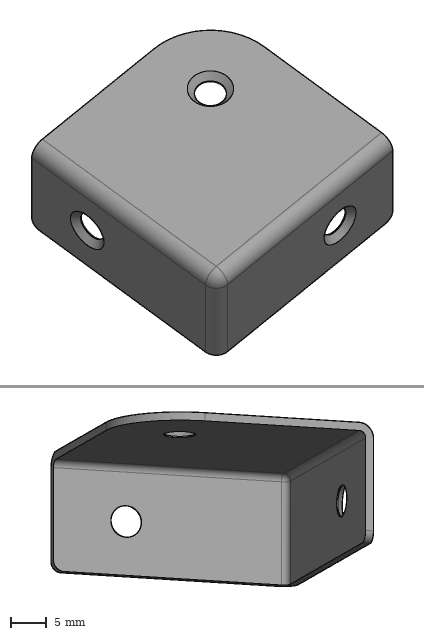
import cadquery as cq

side = 36.0
height = 17.0
thickness = 1.2
outer_bend_radius = 2.2
inner_bend_radius = outer_bend_radius - thickness
plate_corner_radius = 10.98
flange_corner_radius = 1.5

hole_diameter = 4.5
sink_diameter = 6.5
sink_angle = 90.0
hole_inset = 10.8
flange_hole_drop = 9.25


def cover_shell():
    """Rounded block hollowed from below and from its -X and +Y sides."""
    block = (
        cq.Workplane("XY")
        .box(side, side, height, centered=False)
        .edges("(>X and <Y) or (>Z and >X) or (>Z and <Y)")
        .fillet(outer_bend_radius)
    )
    cavity = (
        cq.Workplane("XY")
        .box(side, side, height, centered=False)
        .translate((-thickness, thickness, -thickness))
        .edges("(>X and <Y) or (>Z and >X) or (>Z and <Y)")
        .fillet(inner_bend_radius)
    )
    return block.cut(cavity)


def round_free_corners(body):
    """Round the free corner of the plate and of each flange."""
    body = body.edges("|Z and <X and >Y").fillet(plate_corner_radius)
    body = body.edges("|Y and <X and <Z").fillet(flange_corner_radius)
    return body.edges("|X and >Y and <Z").fillet(flange_corner_radius)


def countersunk_hole(body, plane_normal, x_direction, center):
    """Drill a countersunk hole inward from an outer face."""
    face_plane = cq.Plane(origin=center, xDir=x_direction, normal=plane_normal)
    return body.copyWorkplane(cq.Workplane(face_plane)).cskHole(
        hole_diameter, sink_diameter, sink_angle, depth=2 * thickness
    )


flange_hole_z = height - flange_hole_drop
result = round_free_corners(cover_shell())
result = countersunk_hole(result, (0, 0, 1), (1, 0, 0), (hole_inset, side - hole_inset, height))
result = countersunk_hole(result, (0, -1, 0), (1, 0, 0), (hole_inset, 0, flange_hole_z))
result = countersunk_hole(result, (1, 0, 0), (0, 1, 0), (side, side - hole_inset, flange_hole_z))